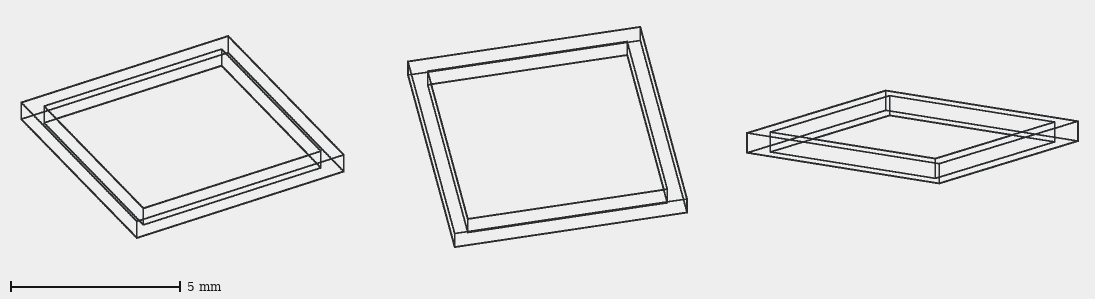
import cadquery as cq

side = 7.0
height = 0.6
wall = 0.5
opening = side - 2 * wall

result = (
    cq.Workplane("XY")
    .rect(side, side)
    .rect(opening, opening)
    .extrude(height / 2, both=True)
)